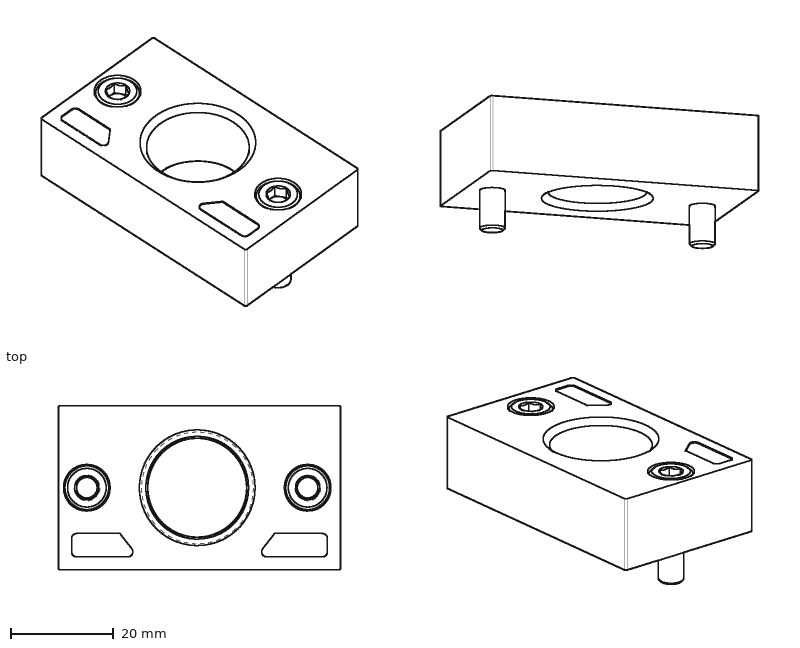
import cadquery as cq
import math

BLOCK_LENGTH = 55.0
BLOCK_WIDTH = 32.0
BLOCK_HEIGHT = 15.0
BLOCK_OFFSET = 0.45
CORNER_RADIUS = 0.4

BORE_TOP_DIAMETER = 20.0
BORE_BOTTOM_DIAMETER = 19.25
BORE_TOP_CHAMFER = 1.25
BORE_BOTTOM_CHAMFER = 1.25

SCREW_X = 21.5
SHANK_DIAMETER = 5.0
TIP_DIAMETER = 4.1
SHANK_PROTRUSION = 8.0
HEAD_DIAMETER = 8.5
HEAD_HEIGHT = 5.0
HEAD_CHAMFER = 0.5
COUNTERBORE_DIAMETER = 9.1
SOCKET_SIDES = 6
SOCKET_FLAT_WIDTH = 4.0
SOCKET_MOUTH_DIAMETER = 4.75
SOCKET_DEPTH = 2.5
SOCKET_POINT_DEPTH = 1.15

POCKET_END_MARGIN = 2.6
POCKET_TOP_Y = -8.9
POCKET_BOTTOM_Y = -13.5
POCKET_SLANT_TOP_X = 15.05
POCKET_SLANT_BOTTOM_X = 11.5
POCKET_CORNER_RADIUS = 1.0
POCKET_DEPTH = 0.2

TIP_Z = -SHANK_PROTRUSION
HEAD_SEAT_Z = BLOCK_HEIGHT - HEAD_HEIGHT
DOWN = cq.Vector(0, 0, -1)


def make_bore():
    top_radius = BORE_TOP_DIAMETER / 2
    bottom_radius = BORE_BOTTOM_DIAMETER / 2
    return (
        cq.Workplane("XZ")
        .moveTo(0, 0)
        .lineTo(bottom_radius + BORE_BOTTOM_CHAMFER, 0)
        .lineTo(bottom_radius, BORE_BOTTOM_CHAMFER)
        .lineTo(top_radius, BLOCK_HEIGHT - BORE_TOP_CHAMFER)
        .lineTo(top_radius + BORE_TOP_CHAMFER, BLOCK_HEIGHT)
        .lineTo(0, BLOCK_HEIGHT)
        .close()
        .revolve(360, (0, 0, 0), (0, 1, 0))
    )


def make_label_pocket(side):
    """Pocket with one slanted end facing the bore; side is -1 (left) or 1 (right)."""
    outer_x = side * (BLOCK_LENGTH / 2 - POCKET_END_MARGIN) + BLOCK_OFFSET
    slant_top_x = side * POCKET_SLANT_TOP_X
    slant_bottom_x = side * POCKET_SLANT_BOTTOM_X
    pocket = (
        cq.Workplane("XY")
        .workplane(offset=BLOCK_HEIGHT - POCKET_DEPTH)
        .moveTo(outer_x, POCKET_TOP_Y)
        .lineTo(slant_top_x, POCKET_TOP_Y)
        .lineTo(slant_bottom_x, POCKET_BOTTOM_Y)
        .lineTo(outer_x, POCKET_BOTTOM_Y)
        .close()
        .extrude(POCKET_DEPTH)
    )
    outer_corners = pocket.edges("|Z").edges(">X" if side > 0 else "<X")
    pocket = outer_corners.fillet(POCKET_CORNER_RADIUS)
    acute_corner = pocket.edges("|Z").edges("<X" if side > 0 else ">X")
    return acute_corner.fillet(POCKET_CORNER_RADIUS)


def make_screw_hole(x):
    shank_hole = cq.Workplane("XY").center(x, 0).circle(SHANK_DIAMETER / 2).extrude(BLOCK_HEIGHT)
    counterbore = (
        cq.Workplane("XY", origin=(x, 0, HEAD_SEAT_Z))
        .circle(COUNTERBORE_DIAMETER / 2)
        .extrude(HEAD_HEIGHT)
    )
    return shank_hole.union(counterbore)


def make_block():
    block = (
        cq.Workplane("XY")
        .center(BLOCK_OFFSET, 0)
        .rect(BLOCK_LENGTH, BLOCK_WIDTH)
        .extrude(BLOCK_HEIGHT)
        .edges("|Z")
        .fillet(CORNER_RADIUS)
        .cut(make_bore())
    )
    for side in (-1, 1):
        block = block.cut(make_screw_hole(side * SCREW_X))
        block = block.cut(make_label_pocket(side))
    return block


def make_hex_socket(x):
    """Hexagonal recess with a countersunk mouth and a conical point at its floor."""
    floor_z = BLOCK_HEIGHT - SOCKET_DEPTH
    flat_radius = SOCKET_FLAT_WIDTH / 2
    mouth_radius = SOCKET_MOUTH_DIAMETER / 2
    half_side_angle = 180 / SOCKET_SIDES
    corner_diameter = SOCKET_FLAT_WIDTH / math.cos(math.radians(half_side_angle))
    hexagon = (
        cq.Workplane("XY", origin=(x, 0, floor_z))
        .transformed(rotate=(0, 0, half_side_angle))
        .polygon(SOCKET_SIDES, corner_diameter)
        .extrude(SOCKET_DEPTH)
    )
    mouth = cq.Solid.makeCone(
        mouth_radius, flat_radius, mouth_radius - flat_radius,
        pnt=cq.Vector(x, 0, BLOCK_HEIGHT), dir=DOWN,
    )
    point = cq.Solid.makeCone(
        flat_radius, 0, SOCKET_POINT_DEPTH,
        pnt=cq.Vector(x, 0, floor_z), dir=DOWN,
    )
    return hexagon.union(cq.Workplane(mouth)).union(cq.Workplane(point))


def make_screw(x):
    tip_chamfer = (SHANK_DIAMETER - TIP_DIAMETER) / 2
    shank = (
        cq.Workplane("XY", origin=(x, 0, TIP_Z))
        .circle(SHANK_DIAMETER / 2)
        .extrude(HEAD_SEAT_Z - TIP_Z)
        .faces("<Z")
        .chamfer(tip_chamfer)
    )
    head = (
        cq.Workplane("XY", origin=(x, 0, HEAD_SEAT_Z))
        .circle(HEAD_DIAMETER / 2)
        .extrude(HEAD_HEIGHT)
        .faces(">Z")
        .chamfer(HEAD_CHAMFER)
    )
    return shank.union(head).cut(make_hex_socket(x))


block = make_block()
screws = [make_screw(side * SCREW_X) for side in (-1, 1)]

result = cq.Compound.makeCompound([block.val(), *[screw.val() for screw in screws]])